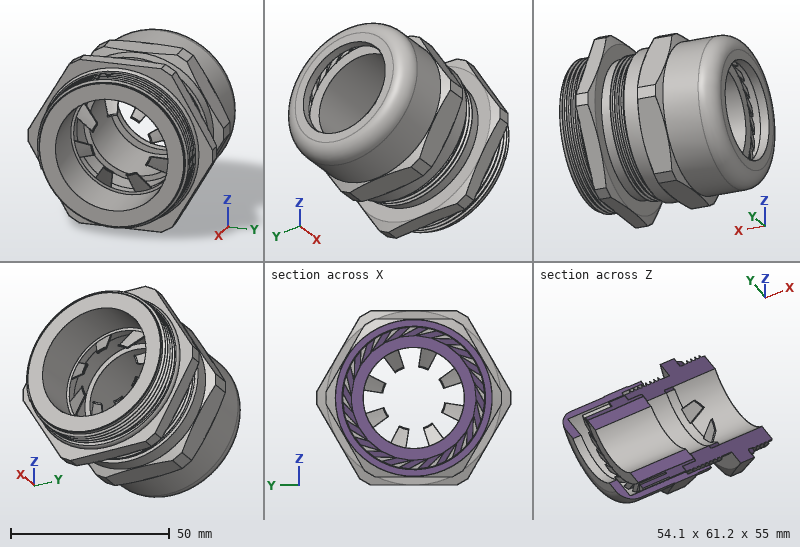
import cadquery as cq
import math


cap_radius = 49.5 / 2
cap_length = 31.25
cap_edge_round = 5.4
cap_mouth_radius = 32.35 / 2
cap_lip = 3.0
cap_cavity_radius = 22.55
cap_bore_radius = 47.1 / 2
cap_hex_x = 17.7
cap_hex_length = 8.7
cap_hex_flats = 49.85
cap_hex_corners = 55.3
cap_hex_chamfer_angle = 22.0

body_start_x = 23.5
total_length = 54.05
cap_thread_radius = 46.9 / 2
cap_thread_root_radius = 45.2 / 2
neck_x = 37.0
body_hex_x = 40.05
body_hex_end_x = 45.2
body_hex_flats = 55.0
body_hex_corners = 61.15
body_hex_face_radius = 27.45
body_hex_chamfer_angle = 17.4
end_thread_radius = 49.95 / 2
end_thread_root_radius = 48.3 / 2
end_taper_x = 52.35
end_face_radius = 23.9
thread_pitch = 1.5
thread_ridge_base = 0.9
thread_ridge_crest = 0.1
thread_embed = 0.1
cap_thread_turns = 9
end_thread_turns = 5.3
seat_radius = 40.7 / 2
seat_end_x = 28.4
land_radius = 35.4 / 2
contact_bore_radius = 37.3 / 2
contact_x = 35.45

gasket_radius = 26.05
gasket_thickness = 1.4
gasket_crown_offset = 0.85
gasket_crown_radius = 25.9
gasket_end_radius = 25.45

seal_x = 7.95
seal_bore_radius = 31.8 / 2
seal_radius = 39.45 / 2
claw_head_radius = 44.75 / 2
claw_slit_count = 24
claw_slit_depth = 9.8
claw_slit_length = 12.2
claw_slit_root_radius = 19.55
claw_slit_root_angle = -29.0
claw_slit_skew = 68.0
claw_slit_spread = 15.0

contact_ring_length = 3.05
finger_count = 8
finger_angle = 18.0
finger_span = 18.4
finger_slope = 55.0
finger_thickness = 0.5
finger_bend_radius = 10.2
finger_tip_radius = 9.85
finger_tip_length = 0.35


def turned(points, sweep=360):
    """Solid of revolution about X from an outline of (x, radius) points."""
    return cq.Workplane("XY").polyline(points).close().revolve(sweep, (0, 0, 0), (1, 0, 0))


def rod(start_x, end_x, radius):
    return cq.Workplane("YZ", origin=(start_x, 0, 0)).circle(radius).extrude(end_x - start_x)


def tube(start_x, end_x, outer_radius, inner_radius):
    return rod(start_x, end_x, outer_radius).cut(rod(start_x, end_x, inner_radius))


def sharp_corner_radius(across_flats):
    return across_flats / 2 / math.cos(math.radians(30))


def hexagon(start_x, end_x, across_flats):
    """Sharp hexagonal prism with flats facing +Z and -Z."""
    diameter = 2 * sharp_corner_radius(across_flats)
    return cq.Workplane("YZ", origin=(start_x, 0, 0)).polygon(6, diameter).extrude(end_x - start_x)


def wrench_hexagon(start_x, end_x, across_flats, across_corners):
    """Hexagonal prism whose six corners are cut flat."""
    corner_cut = hexagon(start_x, end_x, across_corners).rotate((0, 0, 0), (1, 0, 0), 30)
    return hexagon(start_x, end_x, across_flats).intersect(corner_cut)


def thread_ridge(root_radius, crest_radius, start_x, turns):
    """Right-handed helical ridge whose centre line starts above the axis at start_x."""
    height = turns * thread_pitch
    inner_radius = root_radius - thread_embed
    path = cq.Workplane(cq.Wire.makeHelix(thread_pitch, height, inner_radius))
    section = cq.Workplane("XZ").polyline([
        (inner_radius, -thread_ridge_base / 2),
        (crest_radius, -thread_ridge_crest / 2),
        (crest_radius, thread_ridge_crest / 2),
        (inner_radius, thread_ridge_base / 2),
    ]).close()
    ridge = section.sweep(path, isFrenet=True)
    along_x = ridge.rotate((0, 0, 0), (0, 1, 0), 90).rotate((0, 0, 0), (1, 0, 0), 180)
    return along_x.translate((start_x, 0, 0))


def make_cap():
    cap = rod(0, cap_length, cap_radius).faces("<X").edges().fillet(cap_edge_round)
    hex_end_x = cap_hex_x + cap_hex_length
    corner_radius = sharp_corner_radius(cap_hex_flats)
    chamfer = (corner_radius - cap_radius) * math.tan(math.radians(cap_hex_chamfer_angle))
    hex_blank = turned([
        (cap_hex_x, 0),
        (cap_hex_x, cap_radius),
        (cap_hex_x + chamfer, corner_radius),
        (hex_end_x - chamfer, corner_radius),
        (hex_end_x, cap_radius),
        (hex_end_x, 0),
    ])
    wrench_part = wrench_hexagon(cap_hex_x, hex_end_x, cap_hex_flats, cap_hex_corners)
    cap = cap.union(wrench_part.intersect(hex_blank))
    cap = cap.cut(rod(0, cap_lip, cap_mouth_radius))
    cap = cap.cut(rod(cap_lip, body_start_x, cap_cavity_radius))
    return cap.cut(rod(body_start_x, cap_length, cap_bore_radius))


def make_body():
    corner_radius = sharp_corner_radius(body_hex_flats)
    chamfer = (corner_radius - body_hex_face_radius) * math.tan(math.radians(body_hex_chamfer_angle))
    hex_blank = turned([
        (body_hex_x, 0),
        (body_hex_x, body_hex_face_radius),
        (body_hex_x + chamfer, corner_radius),
        (body_hex_end_x, corner_radius),
        (body_hex_end_x, 0),
    ])
    wrench_part = wrench_hexagon(body_hex_x, body_hex_end_x, body_hex_flats, body_hex_corners)
    body = rod(body_start_x, body_hex_x, cap_thread_root_radius)
    body = body.union(wrench_part.intersect(hex_blank))

    cap_thread_x = neck_x - (cap_thread_turns - 1) * thread_pitch
    cap_ridge = thread_ridge(cap_thread_root_radius, cap_thread_radius, cap_thread_x, cap_thread_turns)
    body = body.union(cap_ridge.intersect(rod(body_start_x, neck_x, cap_bore_radius)))

    end_thread_start_x = body_hex_end_x + gasket_thickness
    end_ridge_x = end_thread_start_x + thread_ridge_base / 2 - thread_pitch
    end_ridge = thread_ridge(end_thread_root_radius, end_thread_radius, end_ridge_x, end_thread_turns)
    end_ridge = end_ridge.intersect(rod(end_thread_start_x, total_length, gasket_radius))
    end_blank = turned([
        (body_hex_end_x, 0),
        (body_hex_end_x, gasket_radius),
        (end_taper_x, gasket_radius),
        (total_length, end_face_radius),
        (total_length, 0),
    ])
    end_stub = rod(body_hex_end_x, total_length, end_thread_root_radius)
    body = body.union(end_stub.union(end_ridge).intersect(end_blank))

    body = body.cut(rod(body_start_x, seat_end_x, seat_radius))
    body = body.cut(rod(seat_end_x, contact_x, land_radius))
    return body.cut(rod(contact_x, total_length, contact_bore_radius))


def make_gasket():
    """Flat ring with a crowned rim."""
    end_x = body_hex_end_x + gasket_thickness
    crown_x = body_hex_end_x + gasket_crown_offset
    return (
        cq.Workplane("XY")
        .moveTo(body_hex_end_x, end_thread_root_radius)
        .lineTo(body_hex_end_x, gasket_radius)
        .threePointArc((crown_x, gasket_crown_radius), (end_x, gasket_end_radius))
        .lineTo(end_x, end_thread_root_radius)
        .close()
        .revolve(360, (0, 0, 0), (1, 0, 0))
    )


def make_seal():
    return tube(seal_x, seat_end_x, seal_radius, seal_bore_radius)


def make_claw():
    """Sleeve between seal and cap, its head split into fingers by skewed slits."""
    claw = rod(seal_x, body_start_x, claw_head_radius).union(rod(seal_x, seat_end_x, seat_radius))
    claw = claw.cut(rod(seal_x, seat_end_x, seal_radius))
    half_width = claw_slit_length * math.tan(math.radians(claw_slit_spread / 2))
    slit = (
        cq.Workplane("YZ", origin=(seal_x, 0, 0))
        .polyline([(0, 0), (claw_slit_length, -half_width), (claw_slit_length, half_width)])
        .close()
        .extrude(claw_slit_depth)
        .rotate((0, 0, 0), (1, 0, 0), claw_slit_skew)
        .translate((0, claw_slit_root_radius, 0))
    )
    for index in range(claw_slit_count):
        angle = claw_slit_root_angle + index * 360 / claw_slit_count
        claw = claw.cut(slit.rotate((0, 0, 0), (1, 0, 0), angle))
    return claw


def make_contact_ring():
    """Ring in the body's bore with conical spring fingers that lean in toward the thread end."""
    slope = math.radians(finger_slope)
    ring_end_x = contact_x + contact_ring_length
    sheet_x = finger_thickness / math.sin(slope)
    root_x = ring_end_x - sheet_x
    bend_x = root_x + (land_radius - finger_bend_radius) / math.tan(slope)
    tip_x = bend_x + sheet_x + finger_tip_length
    root_radius = land_radius + finger_thickness
    finger = turned([
        (root_x, root_radius),
        (root_x, land_radius),
        (bend_x, finger_bend_radius),
        (tip_x, finger_tip_radius),
        (tip_x, finger_tip_radius + finger_thickness),
        (bend_x + sheet_x, finger_bend_radius),
        (ring_end_x, land_radius),
        (ring_end_x, root_radius),
    ], finger_span)
    ring = tube(contact_x, ring_end_x, contact_bore_radius, land_radius)
    for index in range(finger_count):
        angle = finger_angle - finger_span / 2 + index * 360 / finger_count
        ring = ring.union(finger.rotate((0, 0, 0), (1, 0, 0), angle))
    return ring


cap = make_cap()
body = make_body()
gasket = make_gasket()
seal = make_seal()
claw = make_claw()
contact_ring = make_contact_ring()

result = cq.Compound.makeCompound([
    cap.solids().val(),
    body.solids().val(),
    gasket.solids().val(),
    seal.solids().val(),
    claw.solids().val(),
    contact_ring.solids().val(),
])